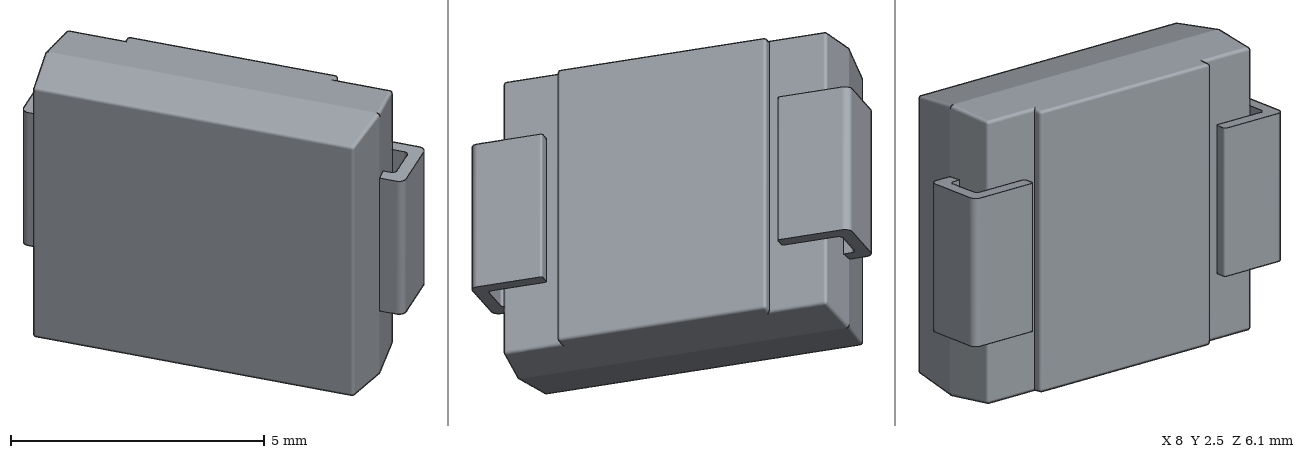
import cadquery as cq
import math

OVERALL_LENGTH = 8.0
WAIST_LENGTH = 6.99
WAIST_HEIGHT = 6.1
FRONT_DEPTH = 1.16
REAR_DEPTH = 1.23
FRONT_DRAFT = 7.0
REAR_DRAFT = 5.0
EDGE_RADIUS = 0.06

STEP_DEPTH = 0.19
PAD_LENGTH = 4.4

LEAD_DROP = 0.02
LEAD_REACH = 1.34
LEAD_THICKNESS = 0.27
LEAD_WIDTH = 3.1
LEAD_FOOT_LENGTH = 1.52
OUTER_BEND_RADIUS = 0.15
INNER_BEND_RADIUS = 0.1
FOOT_END_RADIUS = 0.05


def tapered_half(depth, draft, direction):
    """Frustum growing from the waist along +Y (direction 1) or -Y (direction -1)."""
    inset = depth * math.tan(math.radians(draft))
    plane = cq.Plane(origin=(0, 0, 0), xDir=(1, 0, 0), normal=(0, direction, 0))
    return (
        cq.Workplane(plane)
        .rect(WAIST_LENGTH, WAIST_HEIGHT)
        .workplane(offset=depth)
        .rect(WAIST_LENGTH - 2 * inset, WAIST_HEIGHT - 2 * inset)
        .loft(ruled=True)
    )


def step_cutter(side):
    """Block that removes the rear corner of the body outside the central pad."""
    length = (OVERALL_LENGTH - PAD_LENGTH) / 2
    centre_x = side * (PAD_LENGTH + length) / 2
    return cq.Workplane("XY").box(length, 2 * STEP_DEPTH, WAIST_HEIGHT).translate(
        (centre_x, REAR_DEPTH, 0)
    )


def make_housing():
    """Body with its edges rounded, apart from the waist line and the step roots."""
    front = tapered_half(FRONT_DEPTH, FRONT_DRAFT, -1)
    front = front.edges("not >Y").fillet(EDGE_RADIUS)
    rear = tapered_half(REAR_DEPTH, REAR_DRAFT, 1)
    for side in (-1, 1):
        rear = rear.cut(step_cutter(side))
    step_root = cq.selectors.BoxSelector(
        (-PAD_LENGTH / 2 - EDGE_RADIUS, REAR_DEPTH - STEP_DEPTH - EDGE_RADIUS, -WAIST_HEIGHT / 4),
        (PAD_LENGTH / 2 + EDGE_RADIUS, REAR_DEPTH - STEP_DEPTH + EDGE_RADIUS, WAIST_HEIGHT / 4),
    )
    rounded_edges = cq.selectors.SubtractSelector(cq.StringSyntaxSelector("not <Y"), step_root)
    rear = rear.edges(rounded_edges).fillet(EDGE_RADIUS)
    return front.union(rear).solids()


def make_lead(side, housing):
    """Strip bent into a C; its front arm stops against the end wall of the housing."""
    outer_x = side * OVERALL_LENGTH / 2
    wall_x = side * (OVERALL_LENGTH / 2 - LEAD_THICKNESS)
    tip_x = side * (OVERALL_LENGTH / 2 - LEAD_FOOT_LENGTH)
    root_x = side * (WAIST_LENGTH / 2 - EDGE_RADIUS)
    foot_y = LEAD_REACH - LEAD_THICKNESS
    arm_y = LEAD_THICKNESS - LEAD_DROP
    lead = (
        cq.Workplane("XY")
        .moveTo(root_x, -LEAD_DROP)
        .lineTo(outer_x, -LEAD_DROP)
        .lineTo(outer_x, LEAD_REACH)
        .lineTo(tip_x, LEAD_REACH)
        .lineTo(tip_x, foot_y)
        .lineTo(wall_x, foot_y)
        .lineTo(wall_x, arm_y)
        .lineTo(root_x, arm_y)
        .close()
        .extrude(LEAD_WIDTH / 2, both=True)
    )
    bends = (
        (outer_x, (-LEAD_DROP, LEAD_REACH), OUTER_BEND_RADIUS),
        (wall_x, (arm_y, foot_y), INNER_BEND_RADIUS),
        (tip_x, (foot_y, LEAD_REACH), FOOT_END_RADIUS),
    )
    for corner_x, corner_ys, radius in bends:
        for corner_y in corner_ys:
            corner = cq.selectors.NearestToPointSelector((corner_x, corner_y, 0))
            lead = lead.edges("|Z").edges(corner).fillet(radius)
    return lead.cut(housing).solids()


housing = make_housing()
leads = [make_lead(side, housing) for side in (-1, 1)]
result = cq.Compound.makeCompound([housing.val(), *(lead.val() for lead in leads)])